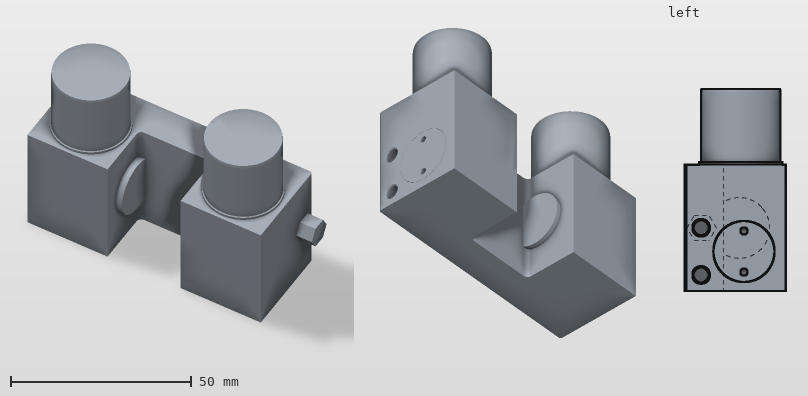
import cadquery as cq
import math

OVERALL_LENGTH = 80.1

BODY_LENGTH = 75.1
BODY_DEPTH = 28.0
BODY_HEIGHT = 35.0
BACK_CHAMFER = 0.5

SLOT_WIDTH = 23.5
SLOT_DEPTH = 17.2
SLOT_FILLET = 1.5

PAD_DIAMETER = 16.8
LEFT_PAD_HEIGHT = 2.0
RIGHT_PAD_HEIGHT = 1.8
PAD_Y = 12.9
PAD_Z = BODY_HEIGHT / 2

HEX_ACROSS_CORNERS = 8.1
HEX_LENGTH = OVERALL_LENGTH - BODY_LENGTH
HEX_Y = 23.3
HEX_Z = BODY_HEIGHT / 2

PORT_DIAMETER = 4.2
PORT_MOUTH_DIAMETER = 4.9
PORT_DEPTH = 10.0
PORT_Y = 23.5
PORT_HEIGHTS = (4.5, 17.55)

PLUG_DIAMETER = 16.8
PLUG_BORE_DIAMETER = 17.0
PLUG_THICKNESS = 5.0
PLUG_Y = 11.6
PLUG_Z = 11.0
SPANNER_HOLE_DIAMETER = 2.0
SPANNER_HOLE_DEPTH = 2.0
SPANNER_HOLE_SPACING = 11.4
DRILL_POINT_ANGLE = 118.0

CAP_DIAMETER = 22.0
CAP_TOP_DIAMETER = 21.8
CAP_HEIGHT = 21.0
CAP_EDGE_HEIGHT = 0.8
FLANGE_DIAMETER = 23.0
FLANGE_HEIGHT = 0.8
CAP_SPACING = 49.0
CAP_Y = 12.5


def rod_along_x(diameter, length, x, y, z):
    """Cylinder that runs along +X from the given centre of its left end."""
    return cq.Workplane("YZ", origin=(x, y, z)).circle(diameter / 2).extrude(length)


def make_port_cutter(z):
    """Port bore with a 45 degree countersunk mouth at the left end of the housing."""
    bore_radius = PORT_DIAMETER / 2
    mouth_radius = PORT_MOUTH_DIAMETER / 2
    left = -BODY_LENGTH / 2
    profile = [
        (left, 0),
        (left, mouth_radius),
        (left + mouth_radius - bore_radius, bore_radius),
        (left + PORT_DEPTH, bore_radius),
        (left + PORT_DEPTH, 0),
    ]
    cutter = cq.Workplane("XY").polyline(profile).close().revolve(360, (0, 0, 0), (1, 0, 0))
    return cutter.translate((0, PORT_Y, z))


def make_housing():
    body = cq.Workplane("XY").box(BODY_LENGTH, BODY_DEPTH, BODY_HEIGHT, centered=(True, False, False))
    body = body.edges("|Z and >Y").chamfer(BACK_CHAMFER)

    slot = cq.Workplane("XY").box(SLOT_WIDTH, SLOT_DEPTH, BODY_HEIGHT, centered=(True, False, False))
    body = body.cut(slot.edges("|Z and >Y").fillet(SLOT_FILLET))

    left_pad = rod_along_x(PAD_DIAMETER, LEFT_PAD_HEIGHT, -SLOT_WIDTH / 2, PAD_Y, PAD_Z)
    right_pad = rod_along_x(PAD_DIAMETER, RIGHT_PAD_HEIGHT, SLOT_WIDTH / 2 - RIGHT_PAD_HEIGHT, PAD_Y, PAD_Z)
    body = body.union(left_pad).union(right_pad)

    hex_stub = (
        cq.Workplane("YZ", origin=(BODY_LENGTH / 2, HEX_Y, HEX_Z))
        .polygon(6, HEX_ACROSS_CORNERS)
        .extrude(HEX_LENGTH)
    )
    body = body.union(hex_stub)

    for z in PORT_HEIGHTS:
        body = body.cut(make_port_cutter(z))

    return body.cut(rod_along_x(PLUG_BORE_DIAMETER, PLUG_THICKNESS, -BODY_LENGTH / 2, PLUG_Y, PLUG_Z))


def make_spanner_hole_cutter(z):
    """Blind drilled hole with a conical bottom, open at the left end."""
    radius = SPANNER_HOLE_DIAMETER / 2
    point_depth = radius / math.tan(math.radians(DRILL_POINT_ANGLE / 2))
    profile = [
        (0, 0),
        (0, radius),
        (SPANNER_HOLE_DEPTH, radius),
        (SPANNER_HOLE_DEPTH + point_depth, 0),
    ]
    cutter = cq.Workplane("XY").polyline(profile).close().revolve(360, (0, 0, 0), (1, 0, 0))
    return cutter.translate((-BODY_LENGTH / 2, PLUG_Y, z))


def make_plug():
    plug = rod_along_x(PLUG_DIAMETER, PLUG_THICKNESS, -BODY_LENGTH / 2, PLUG_Y, PLUG_Z)
    for side in (-1, 1):
        plug = plug.cut(make_spanner_hole_cutter(PLUG_Z + side * SPANNER_HOLE_SPACING / 2))
    return plug


def make_cap(x):
    """Round cap with a thin flange at its foot and a slightly tapered top edge."""
    profile = [
        (0, 0),
        (FLANGE_DIAMETER / 2, 0),
        (FLANGE_DIAMETER / 2, FLANGE_HEIGHT),
        (CAP_DIAMETER / 2, FLANGE_HEIGHT),
        (CAP_DIAMETER / 2, CAP_HEIGHT - CAP_EDGE_HEIGHT),
        (CAP_TOP_DIAMETER / 2, CAP_HEIGHT),
        (0, CAP_HEIGHT),
    ]
    cap = cq.Workplane("XZ").polyline(profile).close().revolve(360, (0, 0, 0), (0, 1, 0))
    return cap.translate((x, CAP_Y, BODY_HEIGHT))


housing = make_housing()
plug = make_plug()
caps = [make_cap(side * CAP_SPACING / 2) for side in (-1, 1)]

result = cq.Compound.makeCompound([housing.val(), plug.val(), *[cap.val() for cap in caps]])